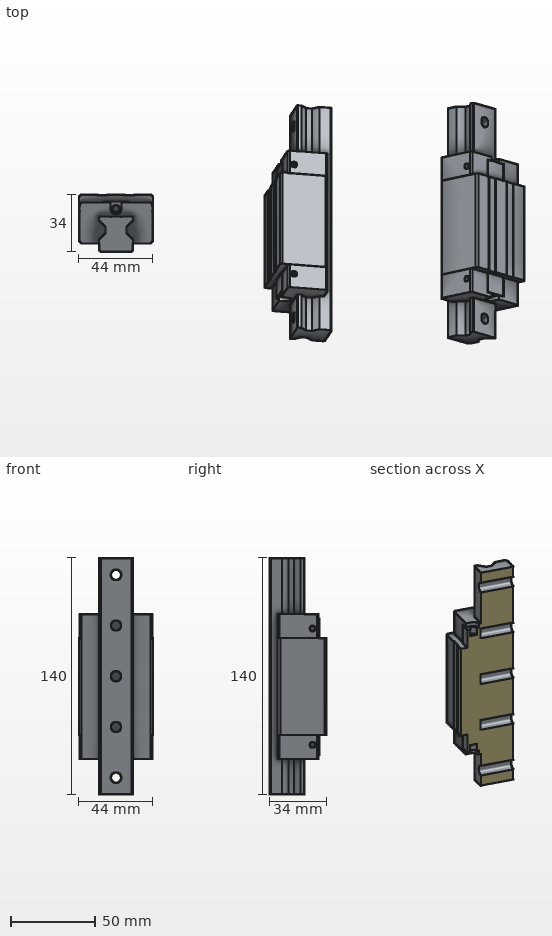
import cadquery as cq


rail_length = 140.0
rail_half_width = 10.01
rail_height = 21.0
rail_waist_half_width = 6.2
rail_base_chamfer = 1.0
rail_top_chamfer = 0.4
upper_flank_top = 18.6
lower_flank_bottom = 7.4
flank_depth = rail_half_width - rail_waist_half_width

rail_hole_diameter = 6.0
rail_hole_count = 5
rail_hole_end_distance = 10.0
rail_hole_pitch = (rail_length - 2 * rail_hole_end_distance) / (rail_hole_count - 1)

carriage_middle = 63.8
carriage_bottom = 4.9
body_width = 44.0
body_top = 34.0
body_length = 57.4
body_top_chamfer = 1.3
body_bottom_chamfer = 1.7

groove_width = 5.9
groove_depth = 0.4
groove_offset = 8.0

cap_width = 43.1
cap_top = 29.3
cap_length = 14.3
cap_top_chamfer = 1.1
cap_bottom_chamfer = body_bottom_chamfer - (body_width - cap_width) / 2
carriage_length = body_length + 2 * cap_length

strip_width = 14.3
strip_height = 0.5
strip_setback = 2.5

port_height = 25.6
end_recess_width = 6.5
end_recess_depth = strip_setback
end_port_diameter = 4.2
end_port_depth = 7.0
side_port_diameter = 3.4
side_port_depth = 4.2
side_port_end_distance = 8.5


def box(width, bottom, top, z_middle, length, x_middle=0):
    """Block centred on x_middle and z_middle, reaching from bottom to top in Y."""
    return (
        cq.Workplane("XY")
        .box(width, top - bottom, length)
        .translate((x_middle, (bottom + top) / 2, z_middle))
    )


def carriage_block(width, top, length, top_chamfer, bottom_chamfer):
    """Carriage section with chamfered long edges, centred on the carriage."""
    block = box(width, carriage_bottom, top, carriage_middle, length)
    block = block.faces(">Y").edges("|Z").chamfer(top_chamfer)
    return block.faces("<Y").edges("|Z").chamfer(bottom_chamfer)


def make_rail():
    right_side = [
        (rail_half_width - rail_base_chamfer, 0),
        (rail_half_width, rail_base_chamfer),
        (rail_half_width, lower_flank_bottom),
        (rail_waist_half_width, lower_flank_bottom + flank_depth),
        (rail_waist_half_width, upper_flank_top - flank_depth),
        (rail_half_width, upper_flank_top),
        (rail_half_width, rail_height - rail_top_chamfer),
        (rail_half_width - rail_top_chamfer, rail_height),
    ]
    left_side = [(-x, y) for x, y in reversed(right_side)]
    return cq.Workplane("XY").polyline(right_side + left_side).close().extrude(rail_length)


def make_body():
    body = carriage_block(body_width, body_top, body_length, body_top_chamfer, body_bottom_chamfer)
    for side in (-1, 1):
        groove = box(
            groove_width, body_top - groove_depth, body_top,
            carriage_middle, body_length, side * groove_offset,
        )
        body = body.cut(groove)
    return body


def make_caps():
    """Both end caps as one block that passes through the body."""
    caps = carriage_block(cap_width, cap_top, carriage_length, cap_top_chamfer, cap_bottom_chamfer)
    strip_length = carriage_length - 2 * strip_setback
    strip = box(strip_width, carriage_bottom, cap_top + strip_height, carriage_middle, strip_length)
    return caps.union(strip)


def rail_holes():
    """Mounting holes through the rail only; the carriage closes the ones it covers."""
    heights = [rail_hole_end_distance + i * rail_hole_pitch for i in range(rail_hole_count)]
    return (
        cq.Workplane("XZ")
        .pushPoints([(0, z) for z in heights])
        .circle(rail_hole_diameter / 2)
        .extrude(-rail_height)
    )


def cap_ports(end):
    """Recess and ports of one cap; end is +1 for the upper cap, -1 for the lower."""
    end_face = carriage_middle + end * carriage_length / 2
    recess_middle = end_face - end * end_recess_depth / 2
    end_plane = cq.Workplane("XY", origin=(0, port_height, end_face))
    recess = end_plane.circle(end_recess_width / 2).extrude(-end * end_recess_depth)
    slot = box(end_recess_width, port_height, cap_top, recess_middle, end_recess_depth)
    end_port = end_plane.circle(end_port_diameter / 2).extrude(-end * end_port_depth)
    ports = recess.union(slot).union(end_port)

    side_port_z = end_face - end * side_port_end_distance
    for side in (-1, 1):
        side_plane = cq.Workplane("YZ", origin=(side * cap_width / 2, port_height, side_port_z))
        ports = ports.union(side_plane.circle(side_port_diameter / 2).extrude(-side * side_port_depth))
    return ports


result = make_rail().union(make_body()).union(make_caps()).cut(rail_holes())
for cap_end in (-1, 1):
    result = result.cut(cap_ports(cap_end))